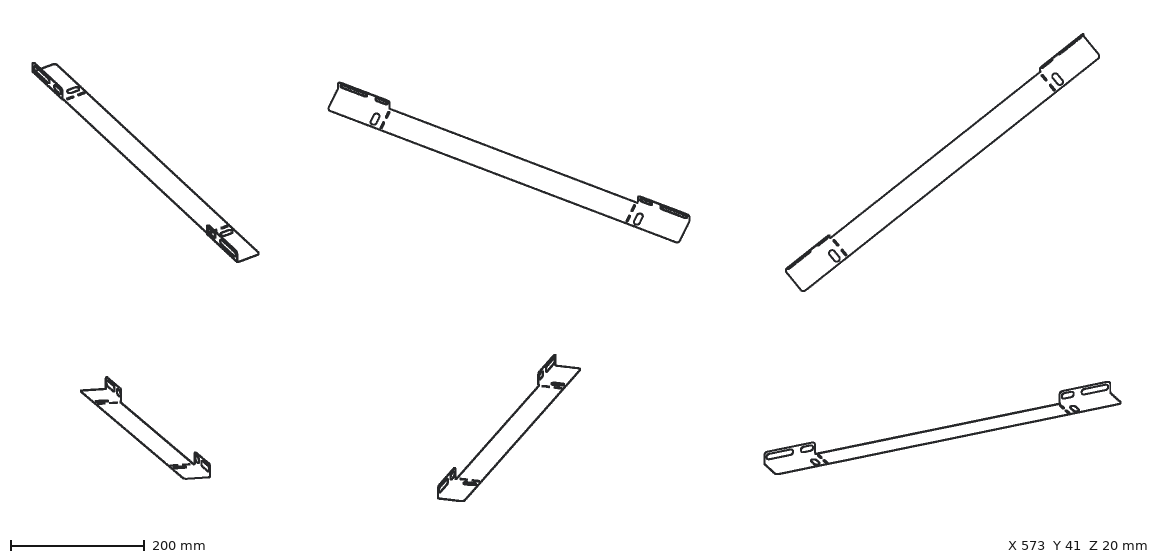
import cadquery as cq

length = 573.0
depth = 41.0
height = 20.0
thickness = 1.2
bend_outer_radius = 2.2
bend_inner_radius = bend_outer_radius - thickness
corner_radius = 5.0

flange_length = 84.0

flange_slot_height = 9.0
flange_slot_z = 11.25
long_slot_length = 44.0
long_slot_from_end = 25.5
short_slot_length = 20.0
short_slot_from_end = 70.5

plate_slot_width = 9.0
plate_slot_length = 20.0
plate_slot_from_end = 71.75
plate_slot_y = 27.2

slit_width = 2.0
slit_length = 10.5
slit_from_end = flange_length + slit_width
slit_centres_y = (13.0, 32.25)

half_length = length / 2
sides = (-1, 1)


def make_plate():
    """Flat strip that stops where the bends begin, with rounded back corners."""
    strip_depth = depth - bend_outer_radius
    strip = cq.Workplane("XY").box(length, strip_depth, thickness, centered=(True, False, False))
    strip = strip.translate((0, bend_outer_radius, 0))
    return strip.edges("|Z and >Y").fillet(corner_radius)


def make_flange(side):
    """Bend and upright wall at one end, with rounded upper corners."""
    profile = (
        cq.Workplane("YZ")
        .moveTo(bend_outer_radius, 0)
        .radiusArc((0, bend_outer_radius), bend_outer_radius)
        .lineTo(0, height)
        .lineTo(thickness, height)
        .lineTo(thickness, bend_outer_radius)
        .radiusArc((bend_outer_radius, thickness), -bend_inner_radius)
        .close()
    )
    flange = profile.extrude(flange_length / 2, both=True)
    flange = flange.edges("|Y and >Z").fillet(corner_radius)
    return flange.translate((side * (length - flange_length) / 2, 0, 0))


def flange_slot(side, from_end, slot_length):
    """Cutter for a round-ended slot through a flange."""
    centre_x = side * (half_length - from_end)
    return (
        cq.Workplane("XZ")
        .center(centre_x, flange_slot_z)
        .slot2D(slot_length, flange_slot_height)
        .extrude(thickness, both=True)
    )


def plate_slot(side):
    """Cutter for the round-ended slot through the plate."""
    centre_x = side * (half_length - plate_slot_from_end)
    return (
        cq.Workplane("XY")
        .center(centre_x, plate_slot_y)
        .slot2D(plate_slot_length, plate_slot_width, 90)
        .extrude(thickness)
    )


def plate_slits(side):
    """Cutter for the pair of narrow slits across the plate."""
    centre_x = side * (half_length - slit_from_end)
    return (
        cq.Workplane("XY")
        .pushPoints([(centre_x, y) for y in slit_centres_y])
        .rect(slit_width, slit_length)
        .extrude(thickness)
    )


result = make_plate()
for side in sides:
    result = result.union(make_flange(side))
for side in sides:
    result = result.cut(flange_slot(side, long_slot_from_end, long_slot_length))
    result = result.cut(flange_slot(side, short_slot_from_end, short_slot_length))
    result = result.cut(plate_slot(side))
    result = result.cut(plate_slits(side))